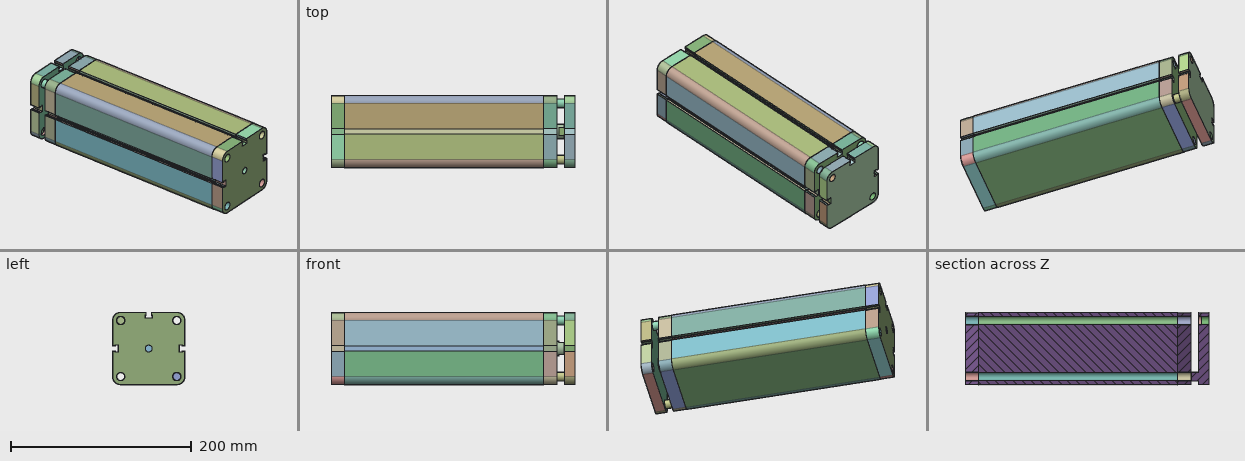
import cadquery as cq


total_length = 269.5
cap_length = 14.8
plate_thickness = 11.9
plate_gap = 8.0
barrel_length = total_length - 2 * cap_length - plate_gap - plate_thickness

width = 80.0
corner_radius = 9.0
end_inset = 0.3

slot_opening = 5.7
slot_inner_width = 7.3
slot_depth = 6.2
slot_lip = 3.2
slot_angles = (0, 90, -90)

corner_offset = 31.0
wide_hole_diameter = 9.2
narrow_hole_diameter = 8.5
guide_diameter = 10.0
guide_corners = [(corner_offset, corner_offset), (-corner_offset, -corner_offset)]
bolt_corners = [(-corner_offset, corner_offset), (corner_offset, -corner_offset)]
all_corners = guide_corners + bolt_corners

plate_mouth_depth = 3.2

port_diameter = 7.5
port_depth = 8.0

rod_diameter = 16.2
rod_across_flats = 13.5
rod_flat_length = 6.2
rod_chamfer = 0.5

barrel_start = cap_length
front_cap_start = barrel_start + barrel_length
rod_start = front_cap_start + cap_length
plate_start = rod_start + plate_gap


def section_plane(start):
    """Workplane across the axis at X = start, with local axes along Y and Z."""
    return cq.Workplane("YZ", origin=(start, 0, 0))


def slot_strip(start, length, strip_width, top, bottom):
    """Rectangular strip along X between two Z levels."""
    return section_plane(start).center(0, (top + bottom) / 2).rect(strip_width, top - bottom).extrude(length)


def t_slot(start, length, inset, angle):
    """T-slot cutter for the +Z side, its walls moved out by the inset, turned about X by the given angle."""
    side = width / 2
    floor = side - slot_depth - inset
    opening = slot_strip(start, length, slot_opening + 2 * inset, side, floor)
    inner = slot_strip(start, length, slot_inner_width + 2 * inset, side - slot_lip + inset, floor)
    return opening.union(inner).rotate((0, 0, 0), (1, 0, 0), angle)


def slotted_block(start, length, hole_corners, hole_diameter, inset):
    """Rounded square block with T-slots and corner holes; sides and slot walls are set back by the inset."""
    side = width - 2 * inset
    block = section_plane(start).rect(side, side).extrude(length).edges("|X").fillet(corner_radius - inset)
    for angle in slot_angles:
        block = block.cut(t_slot(start, length, inset, angle))
    holes = section_plane(start).pushPoints(hole_corners).circle(hole_diameter / 2).extrude(length)
    return block.cut(holes)


def make_rear_cap():
    port = section_plane(0).circle(port_diameter / 2).extrude(port_depth)
    return slotted_block(0, cap_length, all_corners, wide_hole_diameter, end_inset).cut(port)


def make_barrel():
    return slotted_block(barrel_start, barrel_length, all_corners, narrow_hole_diameter, 0)


def make_front_cap():
    return slotted_block(front_cap_start, cap_length, all_corners, wide_hole_diameter, end_inset)


def make_piston_rod():
    """Rod between the front cap and the plate, with flats facing +Z and -Z next to the plate."""
    rod = section_plane(rod_start).circle(rod_diameter / 2).extrude(plate_gap)
    rod = rod.faces(">X").chamfer(rod_chamfer)
    flat_start = plate_start - rod_flat_length
    round_part = section_plane(rod_start).rect(rod_diameter, rod_diameter).extrude(plate_gap - rod_flat_length)
    flats = section_plane(flat_start).rect(rod_diameter, rod_across_flats).extrude(rod_flat_length)
    return rod.intersect(round_part.union(flats))


def make_yoke_plate():
    """Plate with its two guide pins reaching back to the front cap."""
    plate = slotted_block(plate_start, plate_thickness, bolt_corners, narrow_hole_diameter, end_inset)
    mouths = section_plane(plate_start).pushPoints(bolt_corners).circle(wide_hole_diameter / 2)
    plate = plate.cut(mouths.extrude(plate_mouth_depth))
    pins = section_plane(rod_start).pushPoints(guide_corners).circle(guide_diameter / 2).extrude(plate_gap)
    return plate.union(pins)


rear_cap = make_rear_cap()
barrel = make_barrel()
front_cap = make_front_cap()
piston_rod = make_piston_rod()
yoke_plate = make_yoke_plate()

result = cq.Compound.makeCompound([
    rear_cap.val(),
    barrel.val(),
    front_cap.val(),
    piston_rod.val(),
    yoke_plate.val(),
])